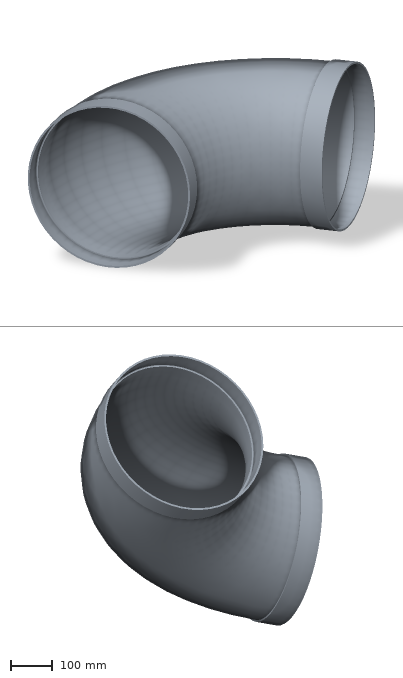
import cadquery as cq

overall_size = 659.0
pipe_diameter = 400.0
wall = 4.5
socket_depth = 50.0
bend_angle = 90

collar_diameter = pipe_diameter + 2 * wall
bore_diameter = pipe_diameter - 2 * wall
collar_length = socket_depth + wall

bend_radius = overall_size - collar_diameter / 2 - collar_length


def make_bend(diameter):
    """Solid quarter torus that turns from the -Y opening to the +X opening."""
    return (
        cq.Workplane("XZ")
        .circle(diameter / 2)
        .revolve(bend_angle, (bend_radius, 0, 0), (bend_radius, -1, 0))
    )


def make_ends(diameter, start=0):
    """Straight cylinders from a distance beyond each end of the bend to the collar rims."""
    length = collar_length - start
    inlet = cq.Workplane("XZ", origin=(0, -start, 0)).circle(diameter / 2).extrude(length)
    outlet = (
        cq.Workplane("YZ", origin=(bend_radius + start, bend_radius, 0))
        .circle(diameter / 2)
        .extrude(length)
    )
    return inlet.union(outlet)


outside = make_bend(pipe_diameter).union(make_ends(collar_diameter))

bore = make_bend(bore_diameter).union(make_ends(bore_diameter))
sockets = make_ends(pipe_diameter, start=wall)
result = outside.cut(bore).cut(sockets)